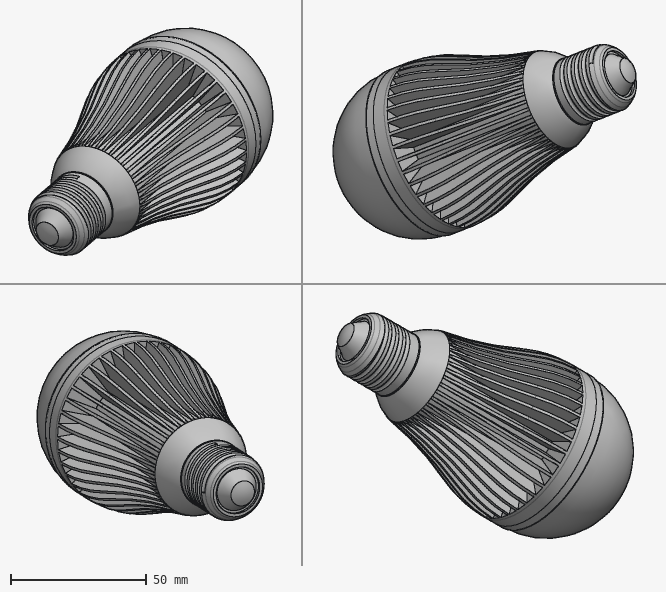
import cadquery as cq
import math

LAMP_LENGTH = 130.9
MAX_RADIUS = 32.6

DOME_RADIUS = 32.2
DOME_CENTRE_Y = LAMP_LENGTH - DOME_RADIUS
SKIRT_BOTTOM_Y = 95.2

RIM_BOTTOM_Y = 90.0
GROOVE_TOP_Y = 88.6
INFLECTION_RADIUS = 28.7
INFLECTION_Y = 70.2
FIN_END_RADIUS = 19.2
FIN_END_Y = 36.1
SINK_BOTTOM_RADIUS = 19.0
SINK_BOTTOM_Y = 35.5
CORE_RADIUS = SINK_BOTTOM_RADIUS
FIN_COUNT = 40
FIN_THICKNESS = 1.2
GROOVE_MARGIN = 2.6

COLLAR_BOTTOM_RADIUS = 13.1
COLLAR_BOTTOM_Y = 26.2
COLLAR_SPHERE_RADIUS = 19.6
NECK_HEIGHT = 0.5

SHELL_RADIUS = 13.0
SHELL_TOP_Y = COLLAR_BOTTOM_Y - NECK_HEIGHT
TAPER_TOP_Y = 9.2
TAPER_MID_RADIUS = 12.2
TAPER_MID_Y = 7.5
TAPER_END_RADIUS = 11.0
TAPER_END_Y = 5.8
LIP_OUTER_RADIUS = 10.2
LIP_INNER_RADIUS = 9.0
LIP_Y = 5.0
RECESS_FLOOR_Y = 6.0
CONTACT_TOP_RADIUS = 8.1
CONTACT_EDGE_RADIUS = 4.8
CONTACT_EDGE_Y = 1.0

THREAD_PITCH = 3.4
THREAD_TURNS = 4.25
THREAD_START_Y = 8.4
THREAD_START_ANGLE = 180
THREAD_GROOVE_RADIUS = 0.9


def revolve_about_axis(profile):
    """Turn a closed (radius, Y) profile into a solid of revolution about the lamp axis."""
    return profile.close().revolve(360, (0, 0, 0), (0, 1, 0))


def make_dome():
    quarter = DOME_RADIUS * math.sqrt(0.5)
    profile = (
        cq.Workplane("XY")
        .moveTo(0, SKIRT_BOTTOM_Y)
        .lineTo(MAX_RADIUS, SKIRT_BOTTOM_Y)
        .lineTo(MAX_RADIUS, DOME_CENTRE_Y)
        .lineTo(DOME_RADIUS, DOME_CENTRE_Y)
        .threePointArc((quarter, DOME_CENTRE_Y + quarter), (0, LAMP_LENGTH))
    )
    return revolve_about_axis(profile)


def make_sink_blank():
    """Rim and waisted body with bevelled fin ends, before the spaces between the fins are cut."""
    profile = (
        cq.Workplane("XY")
        .moveTo(0, SKIRT_BOTTOM_Y)
        .lineTo(MAX_RADIUS, SKIRT_BOTTOM_Y)
        .lineTo(MAX_RADIUS, RIM_BOTTOM_Y)
        .tangentArcPoint((INFLECTION_RADIUS, INFLECTION_Y), relative=False)
        .tangentArcPoint((FIN_END_RADIUS, FIN_END_Y), relative=False)
        .lineTo(SINK_BOTTOM_RADIUS, SINK_BOTTOM_Y)
        .lineTo(0, SINK_BOTTOM_Y)
    )
    return revolve_about_axis(profile)


def make_fin_groove():
    """Space between two neighbouring fins: walls parallel to the fins, floor on the round core."""
    half_pitch = math.pi / FIN_COUNT
    half_fin = FIN_THICKNESS / 2
    floor_angle = half_pitch - math.asin(half_fin / CORE_RADIUS)
    outer_radius = MAX_RADIUS + GROOVE_MARGIN
    outer_angle = half_pitch - math.asin(half_fin / outer_radius)
    floor_x = CORE_RADIUS * math.cos(floor_angle)
    floor_z = CORE_RADIUS * math.sin(floor_angle)
    outer_x = outer_radius * math.cos(outer_angle)
    outer_z = outer_radius * math.sin(outer_angle)
    return (
        cq.Workplane("XZ", origin=(0, GROOVE_TOP_Y, 0))
        .moveTo(floor_x, -floor_z)
        .lineTo(outer_x, -outer_z)
        .lineTo(outer_x, outer_z)
        .lineTo(floor_x, floor_z)
        .threePointArc((CORE_RADIUS, 0), (floor_x, -floor_z))
        .close()
        .extrude(GROOVE_TOP_Y - SINK_BOTTOM_Y + GROOVE_MARGIN)
    )


def make_heat_sink():
    fin_angle = 360 / FIN_COUNT
    groove = make_fin_groove().val()
    grooves = []
    for i in range(FIN_COUNT):
        grooves.append(groove.rotate(cq.Vector(0, 0, 0), cq.Vector(0, 1, 0), (i + 0.5) * fin_angle))
    return make_sink_blank().cut(cq.Workplane(cq.Compound.makeCompound(grooves)))


def make_collar():
    """Spherical cup with a short neck that meets the screw shell."""
    profile = (
        cq.Workplane("XY")
        .moveTo(0, SINK_BOTTOM_Y)
        .lineTo(SINK_BOTTOM_RADIUS, SINK_BOTTOM_Y)
        .radiusArc((COLLAR_BOTTOM_RADIUS, COLLAR_BOTTOM_Y), COLLAR_SPHERE_RADIUS)
        .lineTo(SHELL_RADIUS, COLLAR_BOTTOM_Y)
        .lineTo(SHELL_RADIUS, SHELL_TOP_Y)
        .lineTo(0, SHELL_TOP_Y)
    )
    return revolve_about_axis(profile)


def make_base_blank():
    """Screw shell with a tapered lower end, and the contact set in its lip, before threading."""
    contact_sphere_radius = (CONTACT_EDGE_RADIUS**2 + CONTACT_EDGE_Y**2) / (2 * CONTACT_EDGE_Y)
    profile = (
        cq.Workplane("XY")
        .moveTo(0, SHELL_TOP_Y)
        .lineTo(SHELL_RADIUS, SHELL_TOP_Y)
        .lineTo(SHELL_RADIUS, TAPER_TOP_Y)
        .lineTo(TAPER_MID_RADIUS, TAPER_MID_Y)
        .lineTo(TAPER_END_RADIUS, TAPER_END_Y)
        .lineTo(LIP_OUTER_RADIUS, LIP_Y)
        .lineTo(LIP_INNER_RADIUS, LIP_Y)
        .lineTo(LIP_INNER_RADIUS, RECESS_FLOOR_Y)
        .lineTo(CONTACT_TOP_RADIUS, RECESS_FLOOR_Y)
        .lineTo(CONTACT_EDGE_RADIUS, CONTACT_EDGE_Y)
        .radiusArc((0, 0), contact_sphere_radius)
    )
    return revolve_about_axis(profile)


def make_thread_groove():
    """Helical groove that starts on the -X side, swept along Z and then turned onto the Y axis."""
    helix = cq.Wire.makeHelix(THREAD_PITCH, THREAD_PITCH * THREAD_TURNS, SHELL_RADIUS)
    groove = (
        cq.Workplane("XZ")
        .center(SHELL_RADIUS, 0)
        .circle(THREAD_GROOVE_RADIUS)
        .sweep(cq.Workplane(helix), isFrenet=True)
    )
    groove = groove.rotate((0, 0, 0), (0, 0, 1), THREAD_START_ANGLE)
    return groove.rotate((0, 0, 0), (1, 0, 0), -90).translate((0, THREAD_START_Y, 0))


def make_screw_base():
    return make_base_blank().cut(make_thread_groove())


dome = make_dome()
heat_sink = make_heat_sink()
collar = make_collar()
screw_base = make_screw_base()

bodies = [dome, heat_sink, collar, screw_base]
result = cq.Compound.makeCompound([body.solids().val() for body in bodies])